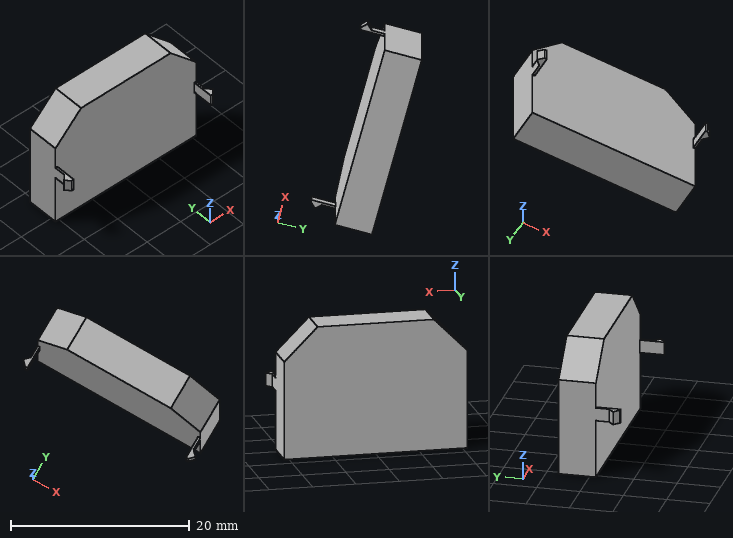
import cadquery as cq

overall_width = 22.35
overall_depth = 7.1
body_height = 15.25

body_depth = 4.34
corner_bevel = 3.85

barb_reach = 0.63
barb_length = 2 * barb_reach
clip_thickness = 0.3
clip_height = 1.55

body_width = overall_width - 2 * barb_reach
clip_length = overall_depth - body_depth


def make_body():
    """Plate standing on Z = 0 with its front face at Y = 0."""
    return (
        cq.Workplane("XY")
        .box(body_width, body_depth, body_height, centered=(True, False, False))
        .edges("|Y and >Z")
        .chamfer(corner_bevel)
    )


def make_clip(side):
    """Clip flush with the body's end wall; side is -1 for left, 1 for right."""
    wall = body_width / 2
    inner = wall - clip_thickness
    profile = [
        (inner, 0),
        (wall, 0),
        (wall, barb_length - clip_length),
        (wall + barb_reach, barb_length / 2 - clip_length),
        (wall, -clip_length),
        (inner, -clip_length),
    ]
    return (
        cq.Workplane("XY")
        .workplane(offset=(body_height - clip_height) / 2)
        .polyline([(side * x, y) for x, y in profile])
        .close()
        .extrude(clip_height)
    )


result = make_body()
for side in (-1, 1):
    result = result.union(make_clip(side))